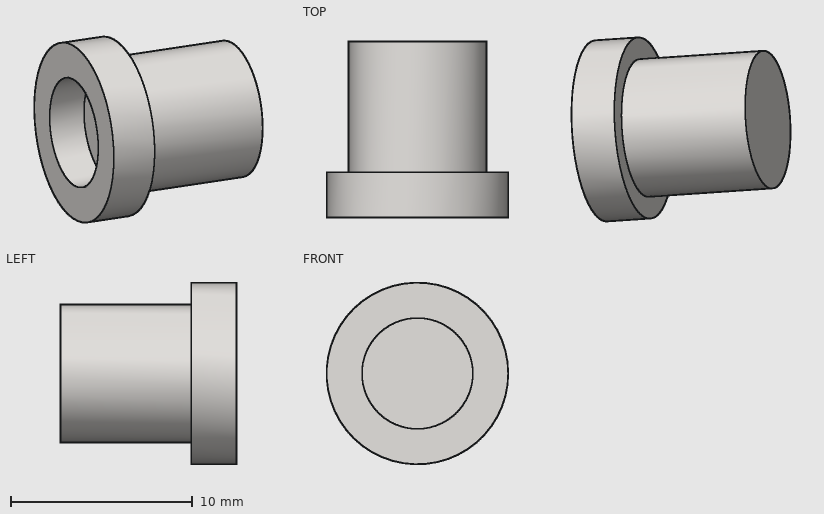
import cadquery as cq

flange_diameter = 10.0
flange_thickness = 2.5
shank_diameter = 7.6
overall_length = 9.7
recess_diameter = 6.1
recess_depth = 2.1


def cylinder_along_y(diameter, length):
    """Solid cylinder running from Y = 0 towards +Y."""
    return cq.Workplane("XZ").circle(diameter / 2).extrude(-length)


flange = cylinder_along_y(flange_diameter, flange_thickness)
shank = cylinder_along_y(shank_diameter, overall_length)
recess = cylinder_along_y(recess_diameter, recess_depth)

result = flange.union(shank).cut(recess)